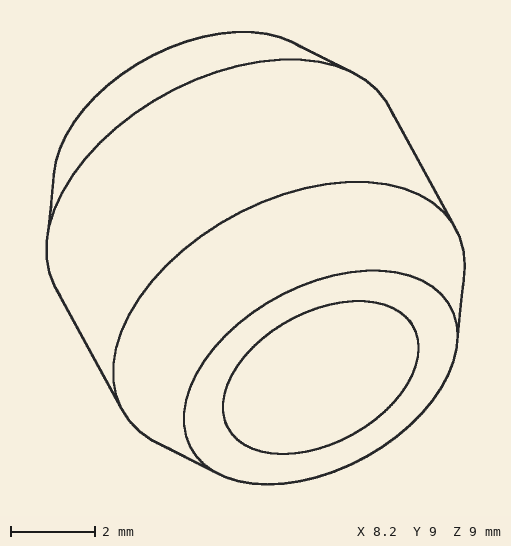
import cadquery as cq

outer_diameter = 9.0
end_diameter = 7.0
bore_diameter = 5.0
length = 8.2
cone_length = 2.0

outer_radius = outer_diameter / 2
end_radius = end_diameter / 2
bore_radius = bore_diameter / 2
half_length = length / 2
shoulder_x = half_length - cone_length

wall_section = (
    cq.Workplane("XY")
    .moveTo(-half_length, bore_radius)
    .lineTo(-half_length, end_radius)
    .lineTo(-shoulder_x, outer_radius)
    .lineTo(shoulder_x, outer_radius)
    .lineTo(half_length, end_radius)
    .lineTo(half_length, bore_radius)
    .close()
)

result = wall_section.revolve(360, (0, 0, 0), (1, 0, 0))